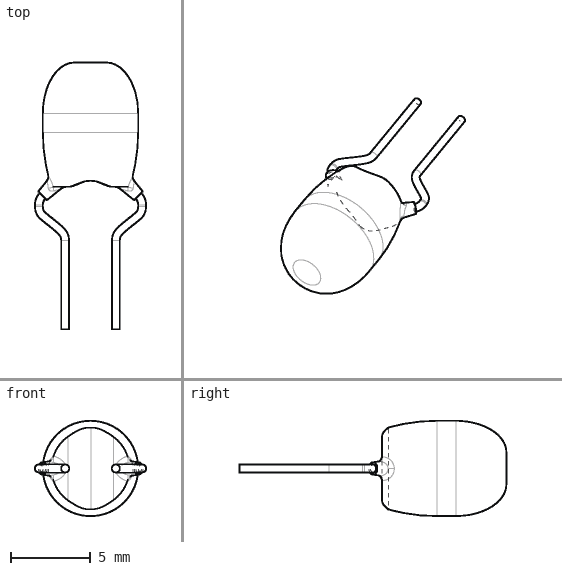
import cadquery as cq
import math

body_length = 7.82
body_radius = 3.0
band_start = 3.45
band_end = 4.62
base_radius = 2.45
crown_flat_radius = 1.0

saddle_depth = 0.39
saddle_half_width = 1.44
saddle_turn = 0.6

wire_radius = 0.255
leg_x = 1.59
leg_tip_y = -8.94
leg_top_y = -3.35
shoulder_x = 3.24
shoulder_bottom_y = -1.22
shoulder_top_y = -1.12
bend_radius = 0.8
knee_offset_x = 0.286
knee_offset_y = 0.613
exit_angle = math.radians(45)

collar_tip_radius = 0.39
collar_taper = math.radians(6)
collar_length = 1.6
collar_fillet = 0.45
collar_reach = 0.9


def make_body():
    crown_height = body_length - band_end
    profile = (
        cq.Workplane("ZY")
        .lineTo(0, body_length)
        .lineTo(crown_flat_radius, body_length)
        .ellipseArc(
            body_radius - crown_flat_radius, crown_height,
            angle1=0, angle2=90, sense=-1, startAtCurrent=True,
        )
        .lineTo(body_radius, band_start)
        .tangentArcPoint((base_radius, 0), relative=False)
        .close()
    )
    return profile.revolve(360, (0, 0, 0), (0, 1, 0))


def make_saddle():
    turn_x = saddle_half_width * saddle_turn
    turn_y = saddle_depth * (1 - saddle_turn)
    along_x = (1, 0)
    profile = (
        cq.Workplane("XY", origin=(0, 0, -body_radius))
        .moveTo(-saddle_half_width, 0)
        .spline(
            [(-turn_x, turn_y), (0, saddle_depth)],
            tangents=[along_x, along_x], includeCurrent=True,
        )
        .spline(
            [(turn_x, turn_y), (saddle_half_width, 0)],
            tangents=[along_x, along_x], includeCurrent=True,
        )
        .lineTo(saddle_half_width, -saddle_depth)
        .lineTo(-saddle_half_width, -saddle_depth)
        .close()
    )
    return profile.extrude(2 * body_radius)


def collar_tip():
    return (
        shoulder_x - bend_radius * (1 - math.cos(exit_angle)),
        shoulder_top_y + bend_radius * math.sin(exit_angle),
    )


def make_collar():
    tip_x, tip_y = collar_tip()
    root_radius = collar_tip_radius + collar_length * math.tan(collar_taper)
    inward = cq.Vector(-math.sin(exit_angle), math.cos(exit_angle), 0)
    cone = cq.Solid.makeCone(
        collar_tip_radius, root_radius, collar_length, cq.Vector(tip_x, tip_y, 0), inward
    )
    return cq.Workplane(obj=cone)


def make_wire():
    tip_x, tip_y = collar_tip()
    inner_x = tip_x - collar_length * math.sin(exit_angle)
    inner_y = tip_y + collar_length * math.cos(exit_angle)
    along_y = (0, 1)
    path = (
        cq.Workplane("XY")
        .moveTo(leg_x, leg_tip_y)
        .lineTo(leg_x, leg_top_y)
        .spline(
            [
                (leg_x + knee_offset_x, leg_top_y + knee_offset_y),
                (shoulder_x - knee_offset_x, shoulder_bottom_y - knee_offset_y),
                (shoulder_x, shoulder_bottom_y),
            ],
            tangents=[along_y, along_y], includeCurrent=True,
        )
        .lineTo(shoulder_x, shoulder_top_y)
        .tangentArcPoint((tip_x, tip_y), relative=False)
        .lineTo(inner_x, inner_y)
    )
    section = cq.Workplane("ZX", origin=(leg_x, leg_tip_y, 0)).circle(wire_radius)
    return section.sweep(path)


def mirrored_pair(shape):
    return shape.union(shape.mirror("YZ"))


def blend_collars(coating):
    """Fillet the seams along which the collars meet the body."""
    inner_corner = (saddle_half_width, -collar_reach, -collar_reach)
    outer_corner = (body_radius, collar_reach, collar_reach)
    for side in (1, -1):
        seam_box = cq.selectors.BoxSelector(
            (side * inner_corner[0],) + inner_corner[1:],
            (side * outer_corner[0],) + outer_corner[1:],
        )
        coating = coating.edges(seam_box).fillet(collar_fillet)
    return coating


body = make_body().cut(make_saddle())
coating = blend_collars(body.union(mirrored_pair(make_collar())))
result = coating.union(mirrored_pair(make_wire()))